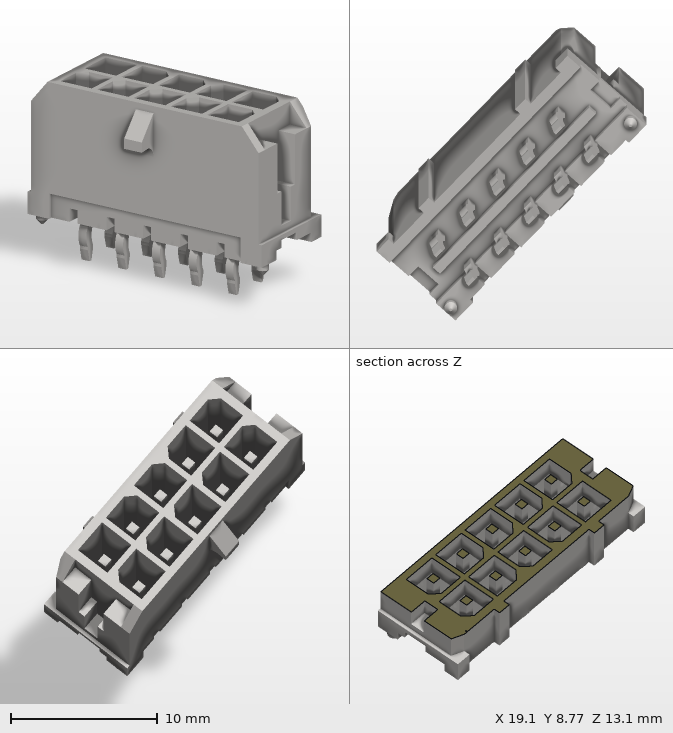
import cadquery as cq


body_length = 18.63
body_depth = 6.84
body_height = 9.92
top_length = 15.9
shoulder_height = 8.25
rear_corner_length = 0.92
rear_corner_depth = 0.38

flange_length = 19.15
flange_height = 1.63
flange_depth = 7.32
flange_width = 1.19
rib_width = 1.01
rib_offset = 4.85
rib_back = 7.33
rib_height = 8.31

end_opening_front = 0.77
end_opening_back = 5.9
slot_center_y = 3.39
wide_slot_width = 2.18
wide_slot_bottom = 4.62
narrow_slot_width = 1.15
narrow_slot_bottom = 2.15

columns = 5
pitch = 3.0
front_row_y = 1.88
row_ys = [front_row_y, front_row_y + pitch]
column_xs = [(i - (columns - 1) / 2) * pitch for i in range(columns)]
pin_size = 0.65
pin_top = 7.28
pin_bottom = -3.18
bend_top = -0.63
bend_bottom = -2.09
bend_offset = 0.2
taper_start = -2.32
tip_width = 0.23

pocket_size = 2.59
pocket_floor = 1.84
pocket_key = 0.63
LEFT, RIGHT, SQUARE = -1, 1, 0
pocket_keys = [
    [LEFT, LEFT, LEFT, LEFT, RIGHT],
    [SQUARE, RIGHT, RIGHT, LEFT, RIGHT],
]

channel_front = 1.8
channel_back = 6.1
channel_height = 0.69
row_wall_length = 15.65
row_wall_width = 0.65
end_recess_width = 1.92
end_recess_depth = 0.95
end_recess_top = 1.26
skirt_length = row_wall_length
skirt_height = 1.84
skirt_recess = 0.29
notch_height = 0.98

peg_x = 9.02
peg_y = 0.95
peg_radius = 0.45
peg_tip_radius = 0.1
peg_straight = 0.5
peg_length = 0.88

latch_width = 1.44
latch_reach = 1.44
latch_top = 9.4
latch_nose_top = 7.72
latch_nose_bottom = 6.97
latch_bottom = 6.26
latch_hook_height = 7.05
latch_hook_y = -0.65
latch_arc_mid = (-0.21, 6.8)


def block(x0, x1, y0, y1, z0, z1):
    """Box between two opposite corners."""
    return cq.Workplane("XY").box(x1 - x0, y1 - y0, z1 - z0, centered=False).translate((x0, y0, z0))


def centered_block(x, y, width, depth, z0, z1):
    """Box centred on (x, y) in plan."""
    return block(x - width / 2, x + width / 2, y - depth / 2, y + depth / 2, z0, z1)


def both_ends(shape):
    """A left-end shape together with its mirror image at the right end."""
    return shape.union(shape.mirror("YZ"))


def make_shell():
    half = body_length / 2
    side = (
        cq.Workplane("XZ")
        .polyline([
            (-half, 0), (half, 0), (half, shoulder_height),
            (top_length / 2, body_height), (-top_length / 2, body_height), (-half, shoulder_height),
        ])
        .close()
        .extrude(-body_depth)
    )
    plan = (
        cq.Workplane("XY")
        .polyline([
            (-half, 0), (half, 0), (half, body_depth - rear_corner_depth),
            (half - rear_corner_length, body_depth), (rear_corner_length - half, body_depth),
            (-half, body_depth - rear_corner_depth),
        ])
        .close()
        .extrude(body_height)
    )
    return side.intersect(plan)


def make_flanges():
    left = -flange_length / 2
    return both_ends(block(left, left + flange_width, 0, flange_depth, 0, flange_height))


def make_ribs():
    left = -rib_offset - rib_width / 2
    return both_ends(block(left, left + rib_width, channel_back, rib_back, 0, rib_height))


def end_cut(y0, y1, z_bottom):
    """Open the ends of the housing down to the wall of the outermost pockets."""
    return both_ends(block(-flange_length / 2, -top_length / 2, y0, y1, z_bottom, body_height))


def end_slot(width, z_bottom):
    return end_cut(slot_center_y - width / 2, slot_center_y + width / 2, z_bottom)


def make_pocket(x, y, key):
    pocket = centered_block(x, y, pocket_size, pocket_size, pocket_floor, body_height)
    if key != SQUARE:
        corner_x = x + key * pocket_size / 2
        corner_y = y + pocket_size / 2
        corner = (
            cq.Workplane("XY", origin=(0, 0, pocket_floor))
            .polyline([
                (corner_x, corner_y),
                (corner_x - key * pocket_key, corner_y),
                (corner_x, corner_y - pocket_key),
            ])
            .close()
            .extrude(body_height - pocket_floor)
        )
        pocket = pocket.cut(corner)
    return pocket


def cut_underside(housing):
    half = flange_length / 2
    channel = block(-half, half, channel_front, channel_back, 0, channel_height)
    row_wall = centered_block(0, slot_center_y, row_wall_length, row_wall_width, 0, channel_height)
    housing = housing.cut(channel.cut(row_wall))

    end_recess = centered_block(
        end_recess_depth / 2 - half, slot_center_y, end_recess_depth, end_recess_width, 0, end_recess_top
    )
    housing = housing.cut(both_ends(end_recess))

    skirt = block(-skirt_length / 2, skirt_length / 2, 0, skirt_recess, 0, skirt_height)
    housing = housing.cut(skirt)
    for x in column_xs:
        notch = block(x - pin_size / 2, x + pin_size / 2, 0, front_row_y - pin_size / 2, 0, notch_height)
        housing = housing.cut(notch)
    return housing


def make_pin(x, y, outward):
    """Square pin whose solder tail bows towards outward (-1 or 1 along Y)."""
    half = pin_size / 2
    bow = outward * bend_offset
    bow_z = (bend_top + bend_bottom) / 2
    return (
        cq.Workplane("YZ", origin=(x - half, y, 0))
        .moveTo(-half, pin_top)
        .lineTo(-half, bend_top)
        .threePointArc((bow - half, bow_z), (-half, bend_bottom))
        .lineTo(-half, taper_start)
        .lineTo(-tip_width / 2, pin_bottom)
        .lineTo(tip_width / 2, pin_bottom)
        .lineTo(half, taper_start)
        .lineTo(half, bend_bottom)
        .threePointArc((bow + half, bow_z), (half, bend_top))
        .lineTo(half, pin_top)
        .close()
        .extrude(pin_size)
    )


def make_pegs():
    peg = (
        cq.Workplane("XZ")
        .polyline([
            (0, flange_height / 2), (peg_radius, flange_height / 2), (peg_radius, -peg_straight),
            (peg_tip_radius, -peg_length), (0, -peg_length),
        ])
        .close()
        .revolve(360, (0, 0), (0, 1))
        .translate((-peg_x, peg_y, 0))
    )
    return both_ends(peg)


def make_latch():
    return (
        cq.Workplane("YZ", origin=(-latch_width / 2, 0, 0))
        .moveTo(0, latch_top)
        .lineTo(-latch_reach, latch_nose_top)
        .lineTo(-latch_reach, latch_nose_bottom)
        .lineTo(latch_hook_y, latch_hook_height)
        .threePointArc(latch_arc_mid, (0, latch_bottom))
        .close()
        .extrude(latch_width)
    )


housing = make_shell().union(make_flanges()).union(make_ribs())
housing = housing.cut(end_cut(end_opening_front, end_opening_back, shoulder_height))
housing = housing.cut(end_slot(wide_slot_width, wide_slot_bottom))
housing = housing.cut(end_slot(narrow_slot_width, narrow_slot_bottom))
for row_y, row_keys in zip(row_ys, pocket_keys):
    for column_x, key in zip(column_xs, row_keys):
        housing = housing.cut(make_pocket(column_x, row_y, key))
housing = cut_underside(housing)
housing = housing.union(make_latch()).union(make_pegs())

for row_y, outward in zip(row_ys, (-1, 1)):
    for column_x in column_xs:
        housing = housing.union(make_pin(column_x, row_y, outward))

result = housing